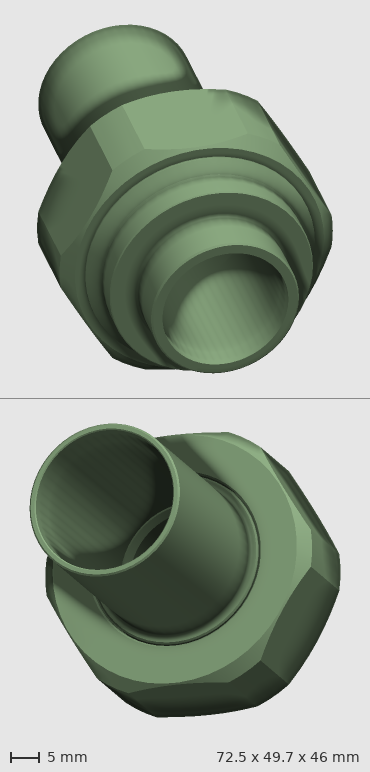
import cadquery as cq
import math


total_length = 72.5
nut_start = 36.5
nut_end = 55.5
collar_start = 36.5
flange_start = 40.0
joint_plane = 44.0
body_cone_start = 55.95
body_cone_length = 2.1
shoulder_end = 63.4

tube_diameter = 28.0
tube_bore = 25.6
collar_diameter = 31.0
flange_diameter = 38.0
tube_fillet = 0.8
tube_outer_chamfer = 0.3
tube_inner_chamfer = 0.2
collar_chamfer = 0.3

across_flats = 46.0
across_corners = 49.68
nut_hole = 31.5
nut_hole_chamfer = 0.3
flange_chamber = 38.95
thread_diameter = 41.75
nut_start_face = 45.5
nut_end_face = 45.3

shoulder_diameter = 37.0
spigot_diameter = 26.9
body_bore = 22.9
bore_entry_diameter = 25.0
shoulder_chamfer = 0.2
spigot_chamfer = 0.3
cone_fillet = 0.6
spigot_fillet = 0.6


def x_cylinder(diameter, start, end):
    """Cylinder about the X axis between two axial positions."""
    return cq.Workplane("YZ", origin=(start, 0, 0)).circle(diameter / 2).extrude(end - start)


def x_cone(start_diameter, end_diameter, start, end):
    """Truncated cone about the X axis between two axial positions."""
    cone = cq.Solid.makeCone(
        start_diameter / 2, end_diameter / 2, end - start, cq.Vector(start, 0, 0), cq.Vector(1, 0, 0)
    )
    return cq.Workplane(cone)


def edge_at(part, x, diameter):
    """Circular edge of a part at the given axial position and diameter."""
    tolerance = 0.01
    low = (x - tolerance, -diameter / 2 - tolerance, -diameter / 2 - tolerance)
    high = (x + tolerance, diameter / 2 + tolerance, diameter / 2 + tolerance)
    inside = part.edges(cq.selectors.BoxSelector(low, high, boundingbox=True))
    return inside.edges(cq.selectors.RadiusNthSelector(-1))


def make_tail_piece():
    """Plain tube with a collar in the nut's hole and a flange behind the nut's lip."""
    tail = x_cylinder(tube_diameter, 0, joint_plane)
    tail = tail.union(x_cylinder(collar_diameter, collar_start, joint_plane))
    tail = tail.union(x_cylinder(flange_diameter, flange_start, joint_plane))
    tail = tail.cut(x_cylinder(tube_bore, 0, joint_plane))
    tail = edge_at(tail, collar_start, tube_diameter).fillet(tube_fillet)
    tail = edge_at(tail, collar_start, collar_diameter).chamfer(collar_chamfer)
    tail = edge_at(tail, 0, tube_diameter).chamfer(tube_outer_chamfer)
    return edge_at(tail, 0, tube_bore).chamfer(tube_inner_chamfer)


def make_nut():
    """Hexagon nut with rounded corners, chamfered ends and a stepped bore."""
    length = nut_end - nut_start
    hexagon_diameter = across_flats / math.cos(math.pi / 6)
    nut = cq.Workplane("YZ", origin=(nut_start, 0, 0)).polygon(6, hexagon_diameter).extrude(length)

    start_chamfer = (across_corners - nut_start_face) / 2
    end_chamfer = (across_corners - nut_end_face) / 2
    envelope = x_cylinder(across_corners, nut_start, nut_end)
    envelope = envelope.faces("<X").chamfer(start_chamfer)
    envelope = envelope.faces(">X").chamfer(end_chamfer)
    nut = nut.intersect(envelope)

    nut = nut.cut(x_cylinder(nut_hole, nut_start, nut_end))
    nut = nut.cut(x_cylinder(flange_chamber, flange_start, nut_end))
    nut = nut.cut(x_cylinder(thread_diameter, joint_plane, nut_end))
    return edge_at(nut, nut_start, nut_hole).chamfer(nut_hole_chamfer)


def make_body():
    """Threaded body with a conical run-out, a shoulder and a spigot."""
    cone_end = body_cone_start + body_cone_length
    body = x_cylinder(thread_diameter, joint_plane, body_cone_start)
    body = body.union(x_cone(thread_diameter, shoulder_diameter, body_cone_start, cone_end))
    body = body.union(x_cylinder(shoulder_diameter, cone_end, shoulder_end))
    body = body.union(x_cylinder(spigot_diameter, shoulder_end, total_length))
    body = edge_at(body, cone_end, shoulder_diameter).fillet(cone_fillet)
    body = edge_at(body, shoulder_end, spigot_diameter).fillet(spigot_fillet)
    body = edge_at(body, shoulder_end, shoulder_diameter).chamfer(shoulder_chamfer)
    body = edge_at(body, total_length, spigot_diameter).chamfer(spigot_chamfer)

    entry_depth = (bore_entry_diameter - body_bore) / 2
    body = body.cut(x_cylinder(body_bore, joint_plane, total_length))
    return body.cut(x_cone(bore_entry_diameter, body_bore, joint_plane, joint_plane + entry_depth))


tail_piece = make_tail_piece()
nut = make_nut()
body = make_body()

result = cq.Compound.makeCompound(
    [*tail_piece.solids().vals(), *nut.solids().vals(), *body.solids().vals()]
)